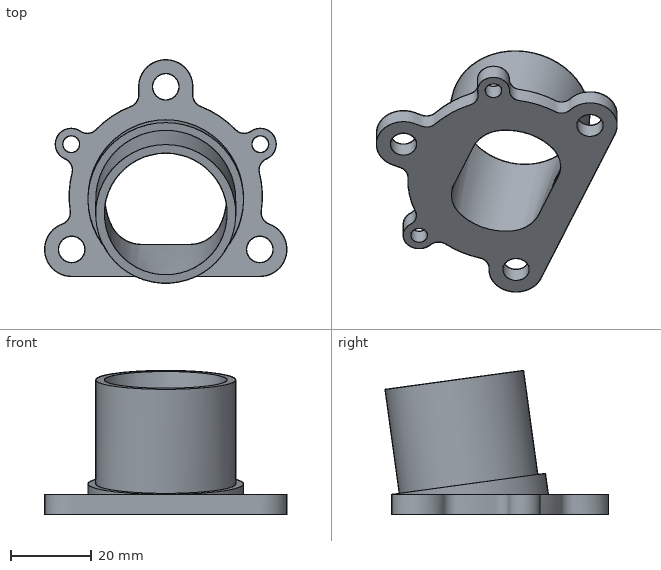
import cadquery as cq
import math

plate_width = 60.3
plate_thickness = 5.0
body_radius = 24.05
body_y = 0.4
neck_fillet = 3.0

lug_radius = 6.75
lug_hole_radius = 3.25
lug_x = plate_width / 2 - lug_radius
rear_lug_y = 27.7
front_lug_y = -12.7
small_lug_radius = 4.0
small_lug_hole_radius = 2.05
small_lug_x = 23.5
small_lug_y = 13.45
front_edge_y = front_lug_y - lug_radius

tilt = 7.8
tube_radius = 17.4
bore_radius = 15.25
tube_length = 28.75
collar_radius = 19.35
collar_length = collar_radius * math.tan(math.radians(tilt))

port_radius = 15.05
port_depth = 22.9
port_corner_radius = 8.25

large_lugs = [(0, rear_lug_y), (-lug_x, front_lug_y), (lug_x, front_lug_y)]
small_lugs = [(-small_lug_x, small_lug_y), (small_lug_x, small_lug_y)]

tube_direction = cq.Vector(0, -math.sin(math.radians(tilt)), math.cos(math.radians(tilt)))
tube_root = cq.Vector(0, 0, plate_thickness)
tube_top = tube_root + tube_direction * tube_length


def discs(centres, radius):
    """Discs through the full plate thickness."""
    return cq.Workplane("XY").pushPoints(centres).circle(radius).extrude(plate_thickness)


def plate_block(x_size, y_min, y_max):
    """Plate-thick block centred on X between two Y positions."""
    return (
        cq.Workplane("XY")
        .center(0, (y_min + y_max) / 2)
        .rect(x_size, y_max - y_min)
        .extrude(plate_thickness)
    )


def make_plate():
    body_front = plate_block(2 * body_radius, front_edge_y, body_y + body_radius)
    body = discs([(0, body_y)], body_radius).intersect(body_front)
    plate = (
        body.union(discs(large_lugs, lug_radius))
        .union(discs(small_lugs, small_lug_radius))
        .union(plate_block(2 * lug_radius, 0, rear_lug_y))
        .union(plate_block(2 * lug_x, front_edge_y, front_lug_y))
    )

    def is_neck(edge):
        centre = edge.Center()
        return abs(math.hypot(centre.x, centre.y - body_y) - body_radius) < 0.005

    necks = plate.edges("|Z").vals()
    plate = plate.newObject([edge for edge in necks if is_neck(edge)]).fillet(neck_fillet)
    holes = discs(large_lugs, lug_hole_radius).union(discs(small_lugs, small_lug_hole_radius))
    return plate.cut(holes)


def tilted_cylinder(radius, length):
    """Cylinder on the tube axis, trimmed flush with the top of the plate."""
    start = tube_root - tube_direction * plate_thickness
    cylinder = cq.Solid.makeCylinder(radius, length + plate_thickness, start, tube_direction)
    trim_size = 4 * collar_radius
    above_plate = (
        cq.Workplane("XY", origin=(0, 0, plate_thickness))
        .rect(trim_size, trim_size)
        .extrude(trim_size)
    )
    return above_plate.intersect(cq.Workplane(cylinder))


def make_bore():
    """Passage blending from the flat-sided port to the round tube mouth."""
    port = (
        discs([(0, 0)], port_radius)
        .intersect(plate_block(2 * port_radius, -port_depth / 2, port_depth / 2))
        .edges("|Z")
        .fillet(port_corner_radius)
    )
    port_wire = port.faces("<Z").wires().val()
    mouth_wire = cq.Wire.makeCircle(bore_radius, tube_top, tube_direction)
    return cq.Workplane(cq.Solid.makeLoft([port_wire, mouth_wire], True))


tube = tilted_cylinder(tube_radius, tube_length)
collar = tilted_cylinder(collar_radius, collar_length)
result = make_plate().union(collar).union(tube).cut(make_bore())